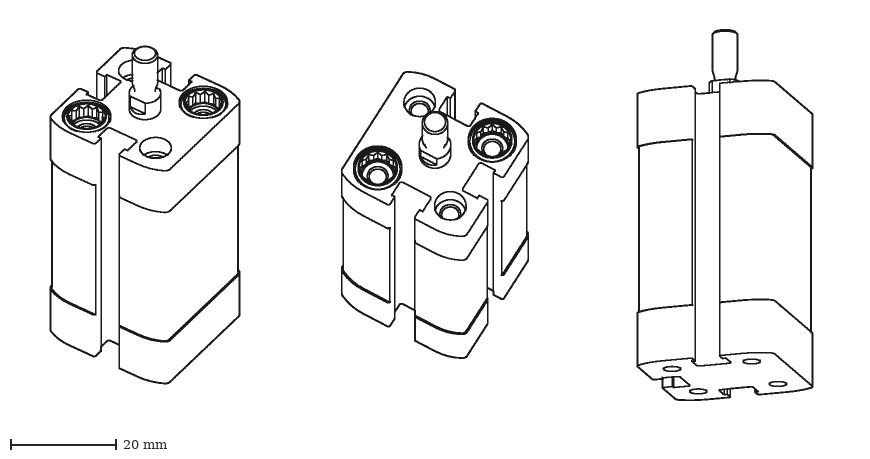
import cadquery as cq
import math


width = 27.5
total_height = 68.25
housing_height = 54.05
half_width = width / 2

cap_height = 10.6
barrel_inset = 0.3
barrel_height = housing_height - 2 * cap_height

bolt_offset = 8.0
crown_radius = 10.9
edge_fillet = 1.15

slot_shift = 0.6
slot_places = [(0, slot_shift), (-90, -slot_shift), (180, slot_shift)]
slot_mouth = 5.45
slot_width = 6.8
slot_depth = 5.5
lip_depth = 2.1
slot_floor_fillet = 0.5
lip_fillet = 0.4

bolt_hole_diameter = 3.3
bolt_hole_rim_diameter = 3.95
counterbore_diameter = 6.0
counterbore_depth = 3.6
counterbore_floor = housing_height - counterbore_depth

recess_diameter = 9.2
recess_depth = 0.55
collar_diameter = 8.5
crest_outer_diameter = 7.5
crest_inner_diameter = 7.1
socket_bevel_height = 0.8
socket_point_radius = 3.4
socket_turn = 30
socket_depth = 2.95

rod_diameter = 6.0
rod_insertion = cap_height
shoulder_height = 4.15
flat_spacing = 4.85
flat_bottom = 1.5
flat_runout_angle = 30.0
thread_diameter = 4.85
thread_tip_diameter = 4.0
thread_start = 6.75
neck_diameter = 3.95
neck_top = 5.1
neck_base_fillet = 0.4
neck_top_fillet = 0.7


def column(height, inset):
    """Column with flat X sides, crowned Y sides and rounded vertical edges, inset evenly all round."""
    half = half_width - inset
    radius = crown_radius - inset
    run = half - bolt_offset
    corner_y = half - radius + math.sqrt(radius**2 - run**2)
    mid_angle = math.asin(run / radius) / 2
    mid_x = bolt_offset + radius * math.sin(mid_angle)
    mid_y = half - radius * (1 - math.cos(mid_angle))
    return (
        cq.Workplane("XY")
        .moveTo(-bolt_offset, -half)
        .lineTo(bolt_offset, -half)
        .threePointArc((mid_x, -mid_y), (half, -corner_y))
        .lineTo(half, corner_y)
        .threePointArc((mid_x, mid_y), (bolt_offset, half))
        .lineTo(-bolt_offset, half)
        .threePointArc((-mid_x, mid_y), (-half, corner_y))
        .lineTo(-half, -corner_y)
        .threePointArc((-mid_x, -mid_y), (-bolt_offset, -half))
        .close()
        .extrude(height)
        .edges("|Z and (<X or >X)")
        .fillet(edge_fillet - inset)
    )


def slot_cutter(angle, shift):
    """T-slot over the full housing height."""
    pocket_depth = slot_depth - lip_depth
    pocket = (
        cq.Workplane("XY")
        .center(shift, lip_depth + pocket_depth / 2 - half_width)
        .rect(slot_width, pocket_depth)
        .extrude(housing_height)
        .edges("|Z and >Y")
        .fillet(slot_floor_fillet)
    )
    mouth = (
        cq.Workplane("XY")
        .center(shift, lip_depth / 2 - half_width)
        .rect(slot_mouth, lip_depth)
        .extrude(housing_height)
    )
    return pocket.union(mouth).rotate((0, 0, 0), (0, 0, 1), angle)


def lip_rounding_cutter(angle, shift):
    """Material outside the rounded lips of one slot, over one cap height."""
    outer = slot_mouth / 2 + lip_fillet
    block = (
        cq.Workplane("XY")
        .center(shift, lip_fillet / 2 - half_width)
        .rect(2 * outer, lip_fillet)
        .extrude(cap_height)
    )
    rounds = (
        cq.Workplane("XY")
        .pushPoints([(shift + side * outer, lip_fillet - half_width) for side in (-1, 1)])
        .circle(lip_fillet)
        .extrude(cap_height)
    )
    return block.cut(rounds).rotate((0, 0, 0), (0, 0, 1), angle)


def end_cap():
    """Full-width column with rounded slot lips."""
    cap = column(cap_height, 0)
    for angle, shift in slot_places:
        cap = cap.cut(lip_rounding_cutter(angle, shift))
    return cap


def cone(bottom_diameter, top_diameter, bottom, top):
    """Truncated cone or cylinder on the Z axis."""
    return (
        cq.Workplane("XZ")
        .moveTo(0, bottom)
        .lineTo(bottom_diameter / 2, bottom)
        .lineTo(top_diameter / 2, top)
        .lineTo(0, top)
        .close()
        .revolve(360, (0, 0), (0, 1))
    )


def bolt_hole_cutter():
    """Through hole on the Z axis with a bevelled rim."""
    bevel = (bolt_hole_rim_diameter - bolt_hole_diameter) / 2
    hole = cone(bolt_hole_diameter, bolt_hole_diameter, 0, counterbore_floor)
    rim = cone(bolt_hole_diameter, bolt_hole_rim_diameter, counterbore_floor - bevel, counterbore_floor)
    return hole.union(rim)


def plain_counterbore_cutter():
    """Counterbore on the Z axis, open at the top face."""
    return cone(counterbore_diameter, counterbore_diameter, counterbore_floor, housing_height)


def collar_cutter():
    """Ring-shaped recess around a bevelled collar with a twelve-point socket."""
    recess_floor = housing_height - recess_depth
    recess = cone(recess_diameter, recess_diameter, recess_floor, housing_height)
    collar = cone(collar_diameter, crest_outer_diameter, recess_floor, housing_height)

    socket_floor = housing_height - socket_depth
    hexagon = (
        cq.Workplane("XY", origin=(0, 0, socket_floor))
        .polygon(6, 2 * socket_point_radius)
        .extrude(socket_depth)
    )
    socket = hexagon.union(hexagon.rotate((0, 0, 0), (0, 0, 1), socket_turn))
    bevel_floor = housing_height - socket_bevel_height
    bevel = cone(counterbore_diameter, crest_inner_diameter, bevel_floor, housing_height)
    bore = cone(counterbore_diameter, counterbore_diameter, counterbore_floor, housing_height)
    return recess.cut(collar).union(socket).union(bevel).union(bore)


def make_housing():
    """Caps and barrel as one solid, with slots, bolt holes and the blind rod bore."""
    housing = (
        end_cap()
        .union(column(barrel_height, barrel_inset).translate((0, 0, cap_height)))
        .union(end_cap().translate((0, 0, housing_height - cap_height)))
    )
    for angle, shift in slot_places:
        housing = housing.cut(slot_cutter(angle, shift))
    for x_side in (-1, 1):
        for y_side in (-1, 1):
            mouth = collar_cutter() if x_side == y_side else plain_counterbore_cutter()
            for cutter in (bolt_hole_cutter(), mouth):
                housing = housing.cut(cutter.translate((x_side * bolt_offset, y_side * bolt_offset, 0)))
    rod_bore = cone(rod_diameter, rod_diameter, housing_height - rod_insertion, housing_height)
    return housing.cut(rod_bore)


def wrench_flat_cutter():
    """Material outside the wrench flat on the +Y side, with a sloping run-out below it."""
    flat_y = flat_spacing / 2
    outer_y = rod_diameter
    drop = (outer_y - flat_y) * math.tan(math.radians(flat_runout_angle))
    flat_z = housing_height + flat_bottom
    shoulder_z = housing_height + shoulder_height
    return (
        cq.Workplane("YZ")
        .moveTo(flat_y, shoulder_z)
        .lineTo(flat_y, flat_z)
        .lineTo(outer_y, flat_z - drop)
        .lineTo(outer_y, shoulder_z)
        .close()
        .extrude(rod_diameter / 2, both=True)
    )


def make_rod():
    """Turned rod: shaft, rounded neck, threaded end, and two wrench flats on the shaft."""
    rod_radius = rod_diameter / 2
    thread_radius = thread_diameter / 2
    tip_radius = thread_tip_diameter / 2
    neck_radius = neck_diameter / 2
    shoulder_z = housing_height + shoulder_height
    rod = (
        cq.Workplane("XZ")
        .moveTo(0, housing_height - rod_insertion)
        .lineTo(rod_radius, housing_height - rod_insertion)
        .lineTo(rod_radius, shoulder_z)
        .lineTo(neck_radius + neck_base_fillet, shoulder_z)
        .radiusArc((neck_radius, shoulder_z + neck_base_fillet), neck_base_fillet)
        .lineTo(neck_radius, housing_height + neck_top)
        .lineTo(thread_radius, housing_height + thread_start)
        .lineTo(thread_radius, total_height - (thread_radius - tip_radius))
        .lineTo(tip_radius, total_height)
        .lineTo(0, total_height)
        .close()
        .revolve(360, (0, 0), (0, 1))
    )
    neck_top_centre = (0, 0, housing_height + neck_top)
    rod = rod.edges("%CIRCLE").edges(cq.NearestToPointSelector(neck_top_centre)).fillet(neck_top_fillet)
    flat = wrench_flat_cutter()
    return rod.cut(flat).cut(flat.mirror("XZ"))


housing = make_housing()
rod = make_rod()
result = cq.Compound.makeCompound([housing.solids().val(), rod.solids().val()])